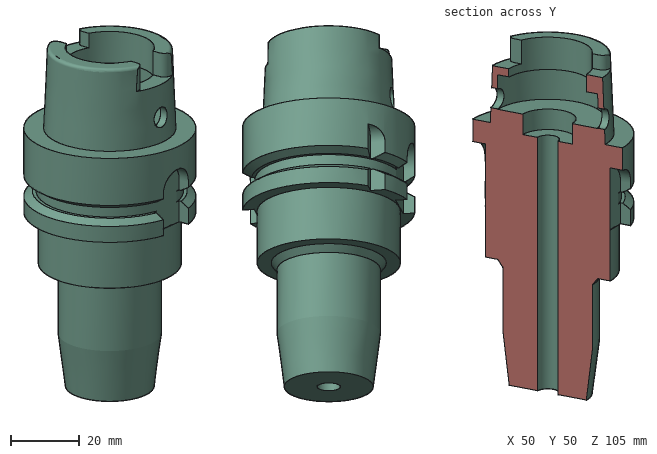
import cadquery as cq

total_length = 105.0
flange_radius = 25.0

taper_top_radius = 18.2
taper_base_radius = 19.2
taper_tip_fillet = 1.0
flange_top_z = total_length - 25.0
flange_bottom_z = total_length - 51.0
groove_radius = 21.4
groove_floor_top_z = total_length - 41.2
groove_floor_bottom_z = total_length - 44.5
groove_flank_height = 1.6
groove_ledge_width = 1.0
collar_radius = 20.8
collar_bottom_z = total_length - 66.9
neck_cone_radius = 16.7
neck_cone_height = 2.1
neck_radius = 15.0
nose_taper_height = 16.4
nose_radius = 12.9

socket_radius = 12.9
socket_lip_depth = 10.0
socket_undercut = 3.7
socket_depth = 20.5
counterbore_radius = 8.2
counterbore_depth = 6.3
through_bore_radius = 3.4

notch_half_width = 5.2
land_half_length = 16.4
land_corner_radius = 2.3
notch_depth_by_side = {-1: 4.5, 1: 7.4}

cross_hole_radius = 3.0
cross_hole_z = total_length - 17.3

slot_top_z = total_length - 32.0
drive_slot_radius = 5.9
drive_slot_floor_x = 20.9
index_slot_radius = 4.2
index_slot_y = 19.7
index_slot_floor_x = 15.3


def turned_body():
    """Revolve the outside, from the nose up to the rim."""
    ledge_radius = groove_radius + groove_ledge_width
    return (
        cq.Workplane("XZ")
        .moveTo(0, 0)
        .lineTo(nose_radius, 0)
        .lineTo(neck_radius, nose_taper_height)
        .lineTo(neck_radius, collar_bottom_z - neck_cone_height)
        .lineTo(neck_cone_radius, collar_bottom_z)
        .lineTo(collar_radius, collar_bottom_z)
        .lineTo(collar_radius, flange_bottom_z)
        .lineTo(flange_radius, flange_bottom_z)
        .lineTo(flange_radius, groove_floor_bottom_z - groove_flank_height)
        .lineTo(ledge_radius, groove_floor_bottom_z)
        .lineTo(groove_radius, groove_floor_bottom_z)
        .lineTo(groove_radius, groove_floor_top_z)
        .lineTo(ledge_radius, groove_floor_top_z)
        .lineTo(flange_radius, groove_floor_top_z + groove_flank_height)
        .lineTo(flange_radius, flange_top_z)
        .lineTo(taper_base_radius, flange_top_z)
        .lineTo(taper_top_radius, total_length)
        .lineTo(0, total_length)
        .close()
        .revolve(360, (0, 0, 0), (0, 1, 0))
        .faces(">Z")
        .edges()
        .fillet(taper_tip_fillet)
    )


def hollow():
    """Socket with an undercut lip, then a counterbore and the through bore."""
    lip_z = total_length - socket_lip_depth
    undercut_radius = socket_radius + socket_undercut
    socket_floor_z = total_length - socket_depth
    counterbore_z = socket_floor_z - counterbore_depth
    return (
        cq.Workplane("XZ")
        .moveTo(0, 0)
        .lineTo(through_bore_radius, 0)
        .lineTo(through_bore_radius, counterbore_z)
        .lineTo(counterbore_radius, counterbore_z)
        .lineTo(counterbore_radius, socket_floor_z)
        .lineTo(undercut_radius, socket_floor_z)
        .lineTo(undercut_radius, lip_z)
        .lineTo(socket_radius, lip_z)
        .lineTo(socket_radius, total_length)
        .lineTo(0, total_length)
        .close()
        .revolve(360, (0, 0, 0), (0, 1, 0))
    )


def drive_notch(side, depth):
    """Rim material removed on one X side, leaving two round-cornered lands."""
    floor = cq.Workplane("XY").workplane(offset=total_length - depth)
    half_rim = (
        floor.center(side * flange_radius / 2, 0)
        .rect(flange_radius, 2 * flange_radius)
        .extrude(depth)
    )
    land_width = flange_radius - notch_half_width
    land_y = notch_half_width + land_width / 2
    lands = (
        floor.pushPoints([(0, -land_y), (0, land_y)])
        .rect(2 * land_half_length, land_width)
        .extrude(depth)
        .edges("|Z")
        .fillet(land_corner_radius)
    )
    return half_rim.cut(lands)


def flange_slot(side, center_y, radius, floor_x):
    """Round-topped slot, open at the flange bottom, cut in along X to a flat floor."""
    arch_z = slot_top_z - radius
    return (
        cq.Workplane("YZ")
        .workplane(offset=side * floor_x)
        .moveTo(center_y - radius, flange_bottom_z)
        .lineTo(center_y - radius, arch_z)
        .threePointArc((center_y, slot_top_z), (center_y + radius, arch_z))
        .lineTo(center_y + radius, flange_bottom_z)
        .close()
        .extrude(side * (flange_radius - floor_x))
    )


cross_hole = (
    cq.Workplane("YZ")
    .center(0, cross_hole_z)
    .circle(cross_hole_radius)
    .extrude(flange_radius, both=True)
)

result = turned_body().cut(hollow()).cut(cross_hole)
for side, depth in notch_depth_by_side.items():
    result = result.cut(drive_notch(side, depth))
    result = result.cut(flange_slot(side, 0, drive_slot_radius, drive_slot_floor_x))
result = result.cut(flange_slot(-1, index_slot_y, index_slot_radius, index_slot_floor_x))